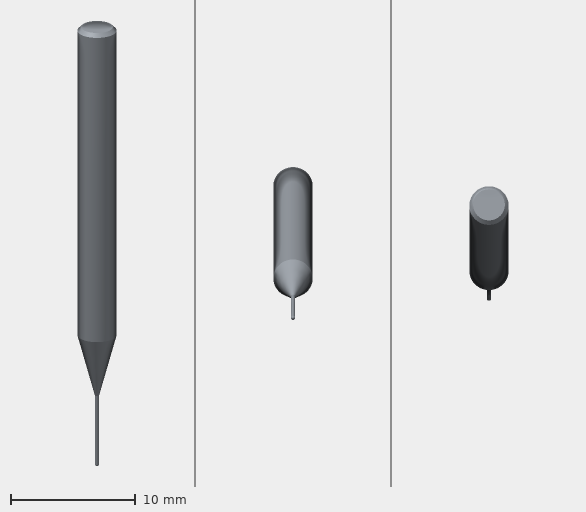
import cadquery as cq
import math

total_length = 38.1
shank_diameter = 3.15
drill_diameter = 0.35
drill_length = 6.15
taper_half_angle = 15.0
point_half_angle = 59.0
shank_chamfer = 0.3

shank_radius = shank_diameter / 2
drill_radius = drill_diameter / 2
taper_length = (shank_radius - drill_radius) / math.tan(math.radians(taper_half_angle))
point_height = drill_radius / math.tan(math.radians(point_half_angle))


def revolve_about_z(profile_points):
    """Turn a closed (radius, height) profile into a solid around the Z axis."""
    profile = cq.Workplane("XZ").polyline(profile_points).close()
    return profile.revolve(360, (0, 0), (0, 1))


def make_shank():
    """Cylindrical shank, chamfered on top and tapering down to the drill diameter."""
    shank = revolve_about_z([
        (0, drill_length),
        (drill_radius, drill_length),
        (shank_radius, drill_length + taper_length),
        (shank_radius, total_length),
        (0, total_length),
    ])
    return shank.faces(">Z").edges().chamfer(shank_chamfer)


def make_drill():
    """Thin drill with a conical point, butted against the small end of the taper."""
    return revolve_about_z([
        (0, 0),
        (drill_radius, point_height),
        (drill_radius, drill_length),
        (0, drill_length),
    ])


shank = make_shank()
drill = make_drill()

result = cq.Compound.makeCompound([shank.val(), drill.val()])